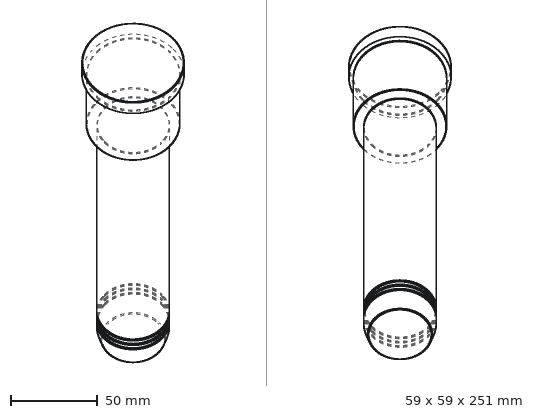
import cadquery as cq

total_length = 251.0
head_diameter = 59.0
head_height = 10.0
head_chamfer = 0.5
collar_diameter = 54.0
collar_bottom_z = 194.8
collar_chamfer = 0.5
shaft_diameter = 42.0

undercut_width = 1.0
undercut_depth = 0.3

tip_height = 10.0
tip_diameter = 37.0
tip_bulge = 0.3
tip_edge_chamfer = 0.5

groove_count = 3
groove_width = 1.0
groove_depth = 0.5
lowest_groove_z = 15.5
groove_pitch = 4.0


def disc(diameter, bottom_z, top_z):
    """Solid cylinder about the Z axis between two heights."""
    return cq.Workplane("XY").workplane(offset=bottom_z).circle(diameter / 2).extrude(top_z - bottom_z)


def shaft_with_tip():
    """Shaft whose lower end narrows along a slightly bulged arc."""
    shaft_radius = shaft_diameter / 2
    tip_radius = tip_diameter / 2
    arc_middle = ((shaft_radius + tip_radius) / 2 + tip_bulge, tip_height / 2)
    profile = (
        cq.Workplane("XZ")
        .lineTo(tip_radius, 0)
        .threePointArc(arc_middle, (shaft_radius, tip_height))
        .lineTo(shaft_radius, collar_bottom_z)
        .lineTo(0, collar_bottom_z)
        .close()
    )
    shaft = profile.revolve(360, (0, 0, 0), (0, 1, 0))
    return shaft.faces("<Z").edges().chamfer(tip_edge_chamfer)


def ring_groove(diameter, center_z, width, depth):
    """Square ring to cut from a cylinder of the given diameter, centred on the given height."""
    bottom_z = center_z - width / 2
    top_z = center_z + width / 2
    return disc(diameter, bottom_z, top_z).cut(disc(diameter - 2 * depth, bottom_z, top_z))


def undercut(diameter, shoulder_z):
    """Relief ring directly below the shoulder at the given height."""
    return ring_groove(diameter, shoulder_z - undercut_width / 2, undercut_width, undercut_depth)


head_bottom_z = total_length - head_height
head = disc(head_diameter, head_bottom_z, total_length).faces(">Z").edges().chamfer(head_chamfer)
collar = disc(collar_diameter, collar_bottom_z, head_bottom_z).faces("<Z").edges().chamfer(collar_chamfer)
collar = collar.cut(undercut(collar_diameter, head_bottom_z))

shaft = shaft_with_tip().cut(undercut(shaft_diameter, collar_bottom_z))
for index in range(groove_count):
    groove_z = lowest_groove_z + index * groove_pitch
    shaft = shaft.cut(ring_groove(shaft_diameter, groove_z, groove_width, groove_depth))

result = shaft.union(collar).union(head)